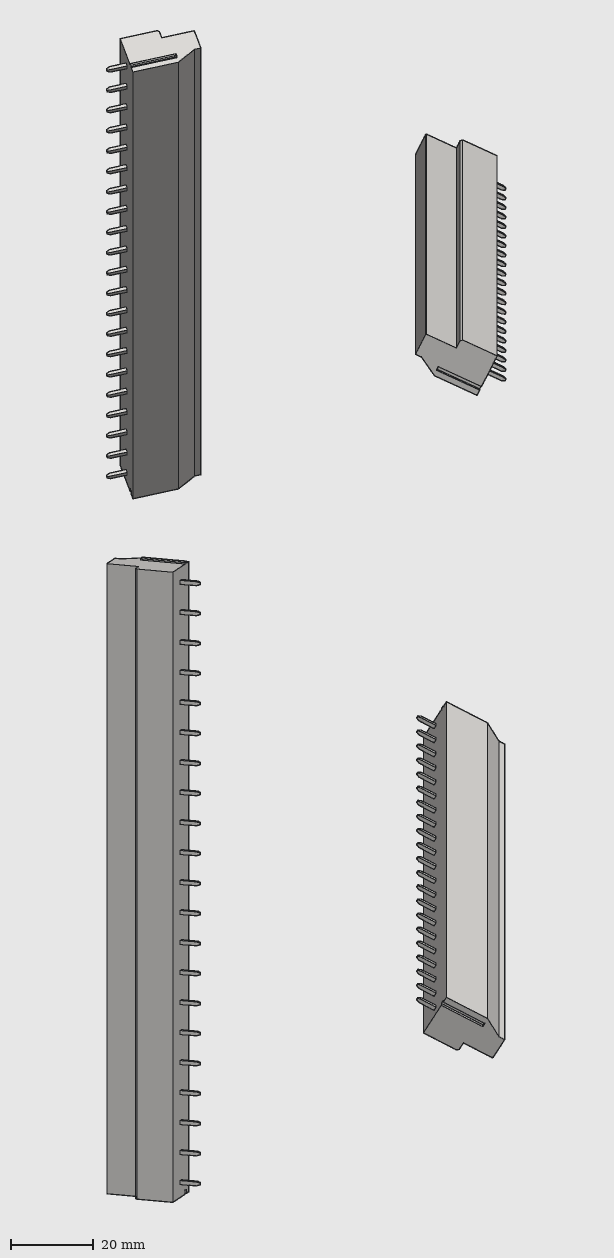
import cadquery as cq

pole_count = 21
pitch = 7.5
row_length = pole_count * pitch

width = 11.2
depth = 18.0
step_width = 2.5
step_depth = 8.2
step_chamfer = 0.5
back_chamfer = 0.15
back_width = 5.8
slope_start = 1.6
slope_end = 6.5

rib_center_x = 9.2
rib_width = 1.0
rib_height = 0.6
rib_length = 11.6
rib_chamfer = 0.25
groove_depth = 1.0

pin_center_x = 5.7
pin_width = 1.0
pin_length = 5.0
pin_tip_length = 0.8
pin_tip_width = 0.5
first_pin_z = pitch / 2


def make_housing():
    """Stepped cross-section extruded along the row."""
    ledge_y = depth - step_depth
    back_right_x = step_width + back_width
    return (
        cq.Workplane("XY")
        .moveTo(0, 0)
        .lineTo(width, 0)
        .lineTo(width, depth - slope_end)
        .lineTo(back_right_x, depth - slope_start)
        .lineTo(back_right_x, depth)
        .lineTo(step_width + back_chamfer, depth)
        .lineTo(step_width, depth - back_chamfer)
        .lineTo(step_width, ledge_y)
        .lineTo(step_chamfer, ledge_y)
        .lineTo(0, ledge_y - step_chamfer)
        .close()
        .extrude(row_length)
    )


def make_bar(base_z, height):
    """Straight bar standing on base_z, running inward from the pin face."""
    return (
        cq.Workplane("XY", origin=(rib_center_x, rib_length / 2, base_z))
        .rect(rib_width, rib_length)
        .extrude(height)
    )


def make_rib():
    """Rib on the top end, chamfered along its sides and inner end."""
    return make_bar(row_length, rib_height).faces(">Z").edges("not <Y").chamfer(rib_chamfer)


def make_groove():
    """Cutter for the groove in the bottom end."""
    return make_bar(0, groove_depth)


def make_pin(center_z):
    """Square pin with a tapered tip, pointing toward -Y."""
    shank_length = pin_length - pin_tip_length
    shank = (
        cq.Workplane("XZ", origin=(pin_center_x, 0, center_z))
        .rect(pin_width, pin_width)
        .extrude(shank_length)
    )
    tip = (
        cq.Workplane("XZ", origin=(pin_center_x, -shank_length, center_z))
        .rect(pin_width, pin_width)
        .workplane(offset=pin_tip_length)
        .rect(pin_tip_width, pin_tip_width)
        .loft()
    )
    return shank.union(tip)


result = make_housing().union(make_rib()).cut(make_groove())
for pole in range(pole_count):
    result = result.union(make_pin(first_pin_z + pole * pitch))